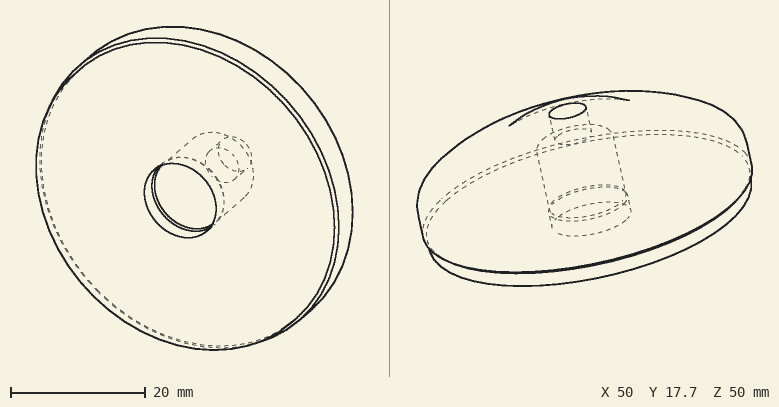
import cadquery as cq
import math


BODY_RADIUS = 25.0
TOTAL_HEIGHT = 17.65

PAD_RADIUS = 24.5
PAD_HEIGHT = 2.45
PAD_ROUND = 1.0
PAD_HOLE_RADIUS = 6.0

CHAMFER_HEIGHT = 0.45
WALL_TOP = 6.5
SHOULDER_RADIUS = 3.75
SHOULDER_TOP = 9.5
CAP_SPHERE_RADIUS = 20.35
CAP_FLAT_RADIUS = 4.0
CAP_RADIUS = 12.3
CAP_BLEND = 1.25

BORE_RADIUS = 5.8
BORE_TOP = 13.0
BORE_ROUND = 1.0
CEILING_SLOPE = 9.0
SCREW_HOLE_RADIUS = 2.8


def turn(profile):
    """Revolve a closed profile a full turn about the Y axis."""
    return profile.revolve(360, (0, 0, 0), (0, 1, 0))


def circle_at(height):
    """Select the circular edge around the Y axis at this height; its centre lies on the axis."""
    return cq.selectors.NearestToPointSelector((0, height, 0))


def make_pad():
    """Flat ring with a rounded lower outer edge."""
    pad = turn(
        cq.Workplane("XY")
        .moveTo(PAD_HOLE_RADIUS, 0)
        .lineTo(PAD_RADIUS, 0)
        .lineTo(PAD_RADIUS, PAD_HEIGHT)
        .lineTo(PAD_HOLE_RADIUS, PAD_HEIGHT)
        .close()
    )
    outer_edge = cq.selectors.RadiusNthSelector(-1)
    return pad.faces("<Y").edges(outer_edge).fillet(PAD_ROUND)


def make_shell():
    """Solid housing outline: chamfer, wall, shoulder, dome and spherical cap."""
    turn_angle = math.asin((SHOULDER_TOP - WALL_TOP) / SHOULDER_RADIUS)
    shoulder_center = BODY_RADIUS - SHOULDER_RADIUS

    def shoulder_point(angle):
        return (
            shoulder_center + SHOULDER_RADIUS * math.cos(angle),
            WALL_TOP + SHOULDER_RADIUS * math.sin(angle),
        )

    cap_center = TOTAL_HEIGHT - math.sqrt(CAP_SPHERE_RADIUS**2 - CAP_FLAT_RADIUS**2)

    def cap_point(radius):
        return (radius, cap_center + math.sqrt(CAP_SPHERE_RADIUS**2 - radius**2))

    shell = turn(
        cq.Workplane("XY")
        .moveTo(0, PAD_HEIGHT)
        .lineTo(PAD_RADIUS, PAD_HEIGHT)
        .lineTo(BODY_RADIUS, PAD_HEIGHT + CHAMFER_HEIGHT)
        .lineTo(BODY_RADIUS, WALL_TOP)
        .threePointArc(shoulder_point(turn_angle / 2), shoulder_point(turn_angle))
        .tangentArcPoint(cap_point(CAP_RADIUS), relative=False)
        .threePointArc(cap_point((CAP_RADIUS + CAP_FLAT_RADIUS) / 2), cap_point(CAP_FLAT_RADIUS))
        .lineTo(0, TOTAL_HEIGHT)
        .close()
    )
    return shell.edges(circle_at(cap_point(CAP_RADIUS)[1])).fillet(CAP_BLEND)


def make_bore():
    """Tapered mouth, straight bore with a rounded sloping ceiling, and the screw hole."""
    ceiling_rise = (BORE_RADIUS - SCREW_HOLE_RADIUS) * math.tan(math.radians(CEILING_SLOPE))
    bore = turn(
        cq.Workplane("XY")
        .moveTo(0, PAD_HEIGHT)
        .lineTo(PAD_HOLE_RADIUS, PAD_HEIGHT)
        .lineTo(BORE_RADIUS, PAD_HEIGHT + CHAMFER_HEIGHT)
        .lineTo(BORE_RADIUS, BORE_TOP)
        .lineTo(SCREW_HOLE_RADIUS, BORE_TOP + ceiling_rise)
        .lineTo(SCREW_HOLE_RADIUS, TOTAL_HEIGHT)
        .lineTo(0, TOTAL_HEIGHT)
        .close()
    )
    return bore.edges(circle_at(BORE_TOP)).fillet(BORE_ROUND)


def make_housing():
    """Domed shell with the stepped hole cut through it."""
    return make_shell().cut(make_bore())


pad = make_pad()
housing = make_housing()
result = cq.Compound.makeCompound([pad.solids().val(), housing.solids().val()])